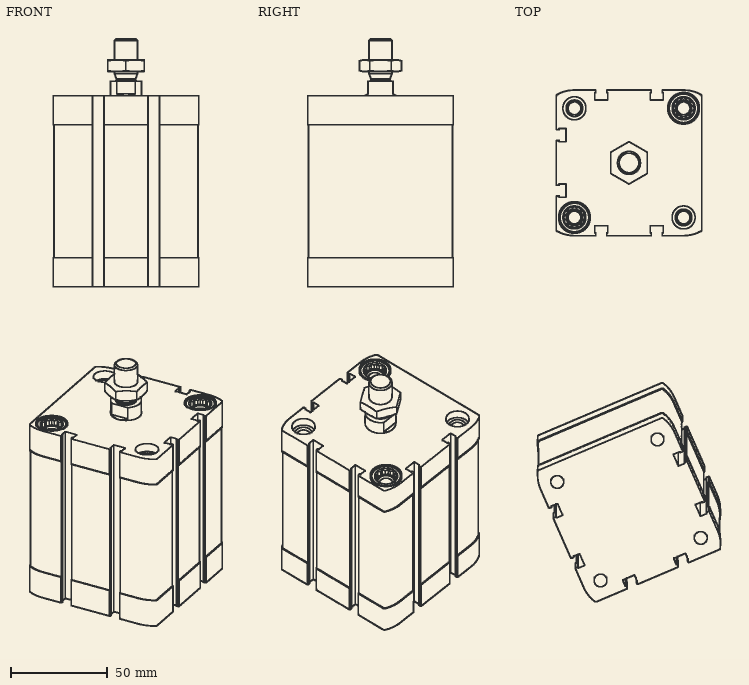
import cadquery as cq
import math

WIDTH = 75.5
HALF_WIDTH = WIDTH / 2
TOTAL_HEIGHT = 128.5
BODY_HEIGHT = 99.1
CAP_HEIGHT = 15.2
BARREL_INSET = 0.45
CORNER_RADIUS = 18.5
CORNER_EDGE_RADIUS = 1.0

HOLE_OFFSET = 28.3
HOLE_DIAMETER = 6.7
HOLE_MOUTH_DIAMETER = 8.6
COUNTERBORE_DIAMETER = 12.0
COUNTERBORE_DEPTH = 4.6

RECESS_DIAMETER = 16.5
COLLAR_DIAMETER = 15.5
COLLAR_CHAMFER = 0.4
RECESS_DEPTH = 0.5
GROOVE_DEPTH = 0.9
SOCKET_MOUTH_DIAMETER = 12.0
SOCKET_POINT_DIAMETER = 11.3
SOCKET_NECK_DIAMETER = 10.2
SOCKET_POINTS = 12
SOCKET_DEPTH = 4.1

SLOT_OFFSET = 14.4
SLOT_MOUTH_WIDTH = 5.5
SLOT_INNER_WIDTH = 6.7
SLOT_MOUTH_CHAMFER = 0.32
SLOT_LIP = 1.5
SLOT_DEPTH = 5.1

ROD_DIAMETER = 16.0
SHOULDER_Z = 106.7
FLATS_WIDTH = 13.0
FLATS_RUNOUT = 0.9
THREAD_DIAMETER = 12.0
CORE_DIAMETER = 10.2
UNDERCUT_FOOT_DIAMETER = 10.7
UNDERCUT_FOOT_HEIGHT = 0.4
UNDERCUT_TOP_Z = 108.0
THREAD_START_Z = 110.4

NUT_ACROSS_FLATS = 19.0
NUT_HEIGHT = 6.0
NUT_BOTTOM_Z = 111.5
NUT_FACE_DIAMETER = 18.5
NUT_CORNER_DROP = 0.5


def cylinder(diameter, bottom, top):
    return cq.Workplane("XY").workplane(offset=bottom).circle(diameter / 2).extrude(top - bottom)


def cone(bottom_diameter, top_diameter, bottom, top):
    return cq.Workplane("XY").add(
        cq.Solid.makeCone(bottom_diameter / 2, top_diameter / 2, top - bottom, cq.Vector(0, 0, bottom))
    )


def housing_block(inset, bottom, top):
    """Square prism with wide arcs at the corners, drawn in by `inset` all round."""
    half = HALF_WIDTH - inset
    radius = CORNER_RADIUS - inset
    reach = half - HOLE_OFFSET
    arc_end = half - radius + math.sqrt(radius**2 - reach**2)
    block = (
        cq.Workplane("XY")
        .workplane(offset=bottom)
        .moveTo(-HOLE_OFFSET, half)
        .lineTo(HOLE_OFFSET, half)
        .radiusArc((half, arc_end), radius)
        .lineTo(half, -arc_end)
        .radiusArc((HOLE_OFFSET, -half), radius)
        .lineTo(-HOLE_OFFSET, -half)
        .radiusArc((-half, -arc_end), radius)
        .lineTo(-half, arc_end)
        .radiusArc((-HOLE_OFFSET, half), radius)
        .close()
        .extrude(top - bottom)
    )
    return block.edges("|Z and (<X or >X)").fillet(CORNER_EDGE_RADIUS - inset)


def slot_cutter(offset, side_angle, inset):
    """T-slot on the +Y side with chamfered mouth edges, then turned about Z to its own side."""
    face_y = HALF_WIDTH - inset
    lip_y = HALF_WIDTH - SLOT_LIP
    floor_y = HALF_WIDTH - SLOT_DEPTH
    mouth = SLOT_MOUTH_WIDTH / 2
    inner = SLOT_INNER_WIDTH / 2
    right_side = [
        (inner, floor_y),
        (inner, lip_y),
        (mouth, lip_y),
        (mouth, face_y - SLOT_MOUTH_CHAMFER),
        (mouth + SLOT_MOUTH_CHAMFER, face_y),
    ]
    left_side = [(-x, y) for x, y in reversed(right_side)]
    slot = cq.Workplane("XY").polyline(right_side + left_side).close().extrude(BODY_HEIGHT)
    return slot.translate((offset, 0, 0)).rotate((0, 0, 0), (0, 0, 1), side_angle)


def housing_section(inset, bottom, top):
    """Housing block with two slots in each side except +X."""
    section = housing_block(inset, bottom, top)
    for side_angle in (0, 90, 180):
        for offset in (-SLOT_OFFSET, SLOT_OFFSET):
            section = section.cut(slot_cutter(offset, side_angle, inset))
    return section


def hole_cutter(seat_z):
    """Through hole with a 45 degree countersink at the seat."""
    countersink_depth = (HOLE_MOUTH_DIAMETER - HOLE_DIAMETER) / 2
    return cylinder(HOLE_DIAMETER, 0, seat_z).union(
        cone(HOLE_DIAMETER, HOLE_MOUTH_DIAMETER, seat_z - countersink_depth, seat_z)
    )


def mounting_hole_cutter():
    seat_z = BODY_HEIGHT - COUNTERBORE_DEPTH
    return hole_cutter(seat_z).union(cylinder(COUNTERBORE_DIAMETER, seat_z, BODY_HEIGHT))


def socket_cutter():
    seat_z = BODY_HEIGHT - SOCKET_DEPTH
    recess_z = BODY_HEIGHT - RECESS_DEPTH
    mouth_depth = (SOCKET_MOUTH_DIAMETER - SOCKET_NECK_DIAMETER) / 2
    collar = cylinder(COLLAR_DIAMETER, 0, recess_z).faces(">Z").chamfer(COLLAR_CHAMFER)
    star = []
    for i in range(2 * SOCKET_POINTS):
        radius = (SOCKET_NECK_DIAMETER if i % 2 == 0 else SOCKET_POINT_DIAMETER) / 2
        angle = math.pi / 4 + math.pi * i / SOCKET_POINTS
        star.append((radius * math.cos(angle), radius * math.sin(angle)))
    socket = cq.Workplane("XY").workplane(offset=seat_z).polyline(star).close().extrude(recess_z - seat_z)
    mouth = cone(SOCKET_NECK_DIAMETER, SOCKET_MOUTH_DIAMETER, recess_z - mouth_depth, recess_z)
    recess = cylinder(RECESS_DIAMETER, BODY_HEIGHT - GROOVE_DEPTH, BODY_HEIGHT).cut(collar)
    return hole_cutter(seat_z).union(socket).union(mouth).union(recess)


def make_housing():
    housing = housing_section(0, 0, CAP_HEIGHT)
    housing = housing.union(housing_section(BARREL_INSET, CAP_HEIGHT, BODY_HEIGHT - CAP_HEIGHT))
    housing = housing.union(housing_section(0, BODY_HEIGHT - CAP_HEIGHT, BODY_HEIGHT))
    for sign in (-1, 1):
        housing = housing.cut(mounting_hole_cutter().translate((sign * HOLE_OFFSET, -sign * HOLE_OFFSET, 0)))
        housing = housing.cut(socket_cutter().translate((sign * HOLE_OFFSET, sign * HOLE_OFFSET, 0)))
    return housing


def flat_cutter():
    """Wedge-ended block that mills the wrench flat on the +Y side of the rod."""
    flat_y = FLATS_WIDTH / 2
    rod_y = ROD_DIAMETER / 2
    return (
        cq.Workplane("YZ")
        .polyline(
            [
                (flat_y, SHOULDER_Z),
                (flat_y, BODY_HEIGHT + FLATS_RUNOUT),
                (rod_y, BODY_HEIGHT),
                (rod_y, SHOULDER_Z),
            ]
        )
        .close()
        .extrude(ROD_DIAMETER / 2, both=True)
    )


def make_rod():
    """Rod standing on the housing's top face."""
    tip_chamfer = (THREAD_DIAMETER - CORE_DIAMETER) / 2
    rod = (
        cq.Workplane("XZ")
        .polyline(
            [
                (0, BODY_HEIGHT),
                (ROD_DIAMETER / 2, BODY_HEIGHT),
                (ROD_DIAMETER / 2, SHOULDER_Z),
                (UNDERCUT_FOOT_DIAMETER / 2, SHOULDER_Z),
                (CORE_DIAMETER / 2, SHOULDER_Z + UNDERCUT_FOOT_HEIGHT),
                (CORE_DIAMETER / 2, UNDERCUT_TOP_Z),
                (THREAD_DIAMETER / 2, THREAD_START_Z),
                (THREAD_DIAMETER / 2, TOTAL_HEIGHT - tip_chamfer),
                (CORE_DIAMETER / 2, TOTAL_HEIGHT),
                (0, TOTAL_HEIGHT),
            ]
        )
        .close()
        .revolve(360, (0, 0, 0), (0, 1, 0))
    )
    for angle in (0, 180):
        rod = rod.cut(flat_cutter().rotate((0, 0, 0), (0, 0, 1), angle))
    return rod


def make_nut():
    """Hexagon nut with corners along Y, coned off at both faces."""
    across_corners = NUT_ACROSS_FLATS / math.cos(math.pi / 6)
    top = NUT_BOTTOM_Z + NUT_HEIGHT
    hexagon = (
        cq.Workplane("XY")
        .workplane(offset=NUT_BOTTOM_Z)
        .polygon(6, across_corners)
        .extrude(NUT_HEIGHT)
        .rotate((0, 0, 0), (0, 0, 1), 90)
    )
    envelope = (
        cone(NUT_FACE_DIAMETER, across_corners, NUT_BOTTOM_Z, NUT_BOTTOM_Z + NUT_CORNER_DROP)
        .union(cylinder(across_corners, NUT_BOTTOM_Z + NUT_CORNER_DROP, top - NUT_CORNER_DROP))
        .union(cone(across_corners, NUT_FACE_DIAMETER, top - NUT_CORNER_DROP, top))
    )
    return hexagon.intersect(envelope).cut(cylinder(THREAD_DIAMETER, NUT_BOTTOM_Z, top))


housing = make_housing()
rod = make_rod()
nut = make_nut()

result = cq.Compound.makeCompound([housing.val(), rod.val(), nut.val()])